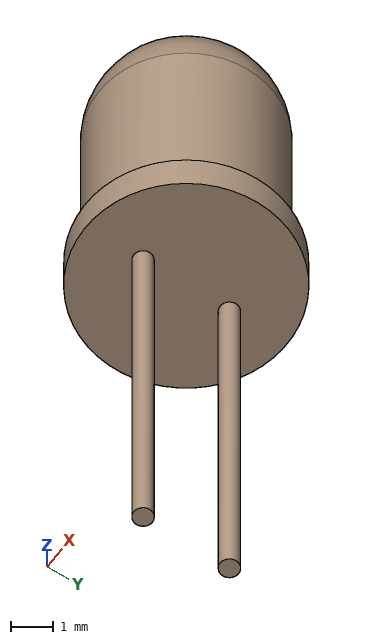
import cadquery as cq

lens_diameter = 5.0
lens_radius = lens_diameter / 2

flange_diameter = 5.8
flange_height = 1.0

lead_diameter = 0.53
lead_length = 11.01
lead_pitch = 2.5

total_height = 19.7
straight_height = total_height - lead_length - flange_height - lens_radius


def make_housing():
    """Revolve the flange, straight body and dome about Z, with the flange base at Z = 0."""
    dome_base = flange_height + straight_height
    dome_tip = dome_base + lens_radius
    dome_middle = lens_radius * 0.5**0.5
    return (
        cq.Workplane("XZ")
        .lineTo(flange_diameter / 2, 0)
        .lineTo(flange_diameter / 2, flange_height)
        .lineTo(lens_radius, flange_height)
        .lineTo(lens_radius, dome_base)
        .threePointArc((dome_middle, dome_base + dome_middle), (0, dome_tip))
        .close()
        .revolve(360, (0, 0), (0, 1))
    )


def make_leads():
    """Extrude both leads downward from the flange base."""
    return (
        cq.Workplane("XY")
        .pushPoints([(0, -lead_pitch / 2), (0, lead_pitch / 2)])
        .circle(lead_diameter / 2)
        .extrude(-lead_length)
    )


result = make_housing().union(make_leads())